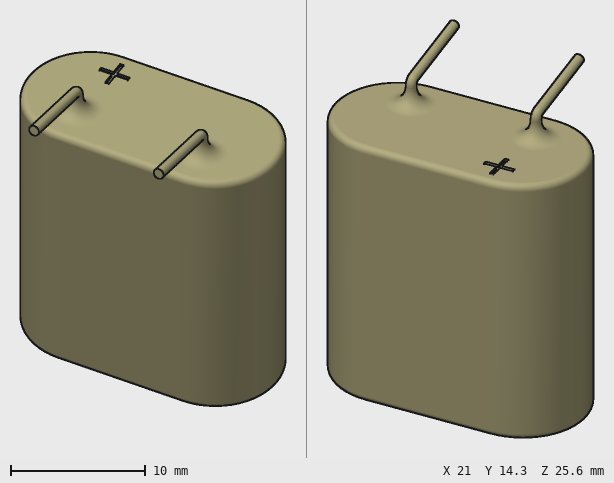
import cadquery as cq
import math

total_height = 25.6
body_length = 21.0
body_depth = body_length / 2
body_height = 22.0
edge_radius = 0.5

lead_spacing = body_length - body_depth
lead_y = -2.07
lead_radius = 0.4
lead_tilt = math.radians(10)
bend_radius = 0.5
lead_overhang = 3.76

flare_radius = 1.49

mark_x = -4.81
mark_y = 2.95
mark_span = 2.4
mark_stroke = 0.3
mark_depth = 0.2


def make_body():
    """Obround can with rounded top and bottom rims."""
    can = cq.Workplane("XY").slot2D(body_length, body_depth).extrude(body_height)
    return can.faces("<Z or >Z").edges().fillet(edge_radius)


def make_flare(x):
    """Collar of revolution with a concave quarter-circle flank."""
    base_radius = lead_radius + flare_radius
    diagonal = flare_radius * math.sqrt(0.5)
    profile = (
        cq.Workplane("XZ")
        .moveTo(0, -edge_radius)
        .lineTo(base_radius, -edge_radius)
        .lineTo(base_radius, 0)
        .threePointArc(
            (base_radius - diagonal, flare_radius - diagonal),
            (lead_radius, flare_radius),
        )
        .lineTo(0, flare_radius)
        .close()
    )
    return profile.revolve(360, (0, 0), (0, 1)).translate((x, lead_y, body_height))


def make_lead(x):
    """Round wire that rises from the body, bends forward and climbs at the tilt angle."""
    bend_end_y = lead_y - bend_radius * (1 - math.sin(lead_tilt))
    tip_y = -body_depth / 2 - lead_overhang + lead_radius * math.sin(lead_tilt)
    tip_z = total_height - lead_radius * math.cos(lead_tilt)
    bend_end_z = tip_z - (bend_end_y - tip_y) * math.tan(lead_tilt)
    bend_start_z = bend_end_z - bend_radius * math.cos(lead_tilt)

    half_turn = (math.pi / 2 - lead_tilt) / 2
    bend_mid_y = lead_y - bend_radius * (1 - math.cos(half_turn))
    bend_mid_z = bend_start_z + bend_radius * math.sin(half_turn)

    root_z = body_height - edge_radius
    path = (
        cq.Workplane("YZ", origin=(x, 0, 0))
        .moveTo(lead_y, root_z)
        .lineTo(lead_y, bend_start_z)
        .threePointArc((bend_mid_y, bend_mid_z), (bend_end_y, bend_end_z))
        .lineTo(tip_y, tip_z)
    )
    section = cq.Workplane("XY", origin=(x, lead_y, root_z)).circle(lead_radius)
    return section.sweep(path)


def make_polarity_mark():
    """Plus-shaped cutter sunk into the top face."""
    cutter_plane = cq.Workplane("XY", origin=(mark_x, mark_y, body_height - mark_depth))
    across = cutter_plane.rect(mark_span, mark_stroke).extrude(mark_depth)
    along = cutter_plane.rect(mark_stroke, mark_span).extrude(mark_depth)
    return across.union(along)


result = make_body().cut(make_polarity_mark())
for lead_x in (-lead_spacing / 2, lead_spacing / 2):
    result = result.union(make_flare(lead_x)).union(make_lead(lead_x))